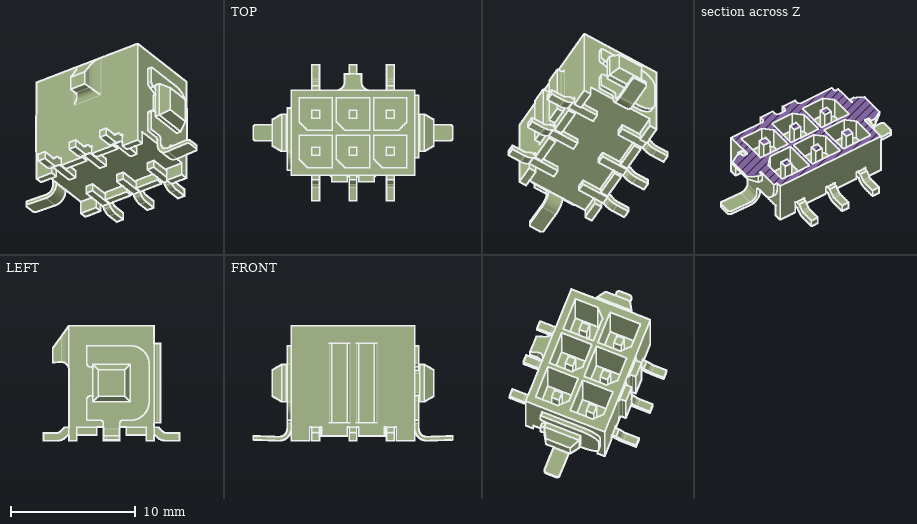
import cadquery as cq
import math


OVERALL_X = 16.04
OVERALL_Y = 10.94
OVERALL_Z = 9.24

BODY_X = 9.91
BODY_Y = 6.83
WALL_Y = 0.64
UNDERSIDE_Z = 1.1
SKIRT_Z = 0.38
PIN_SLOT_X = 0.91

PITCH = 3.0
COLUMN_X = (-PITCH, 0, PITCH)
ROW_Y = (-PITCH / 2, PITCH / 2)
CAVITY_X = 2.66
CAVITY_Y = 2.61
CAVITY_CHAMFER = 0.69
CAVITY_FLOOR_Z = 1.92

PIN = 0.64
PIN_TOP_Z = 6.42
LEG_KNEE_Y = 3.75
LEG_BEND_RADIUS = 0.32

RIB_X = 1.25
RIB_DEPTH = 0.53
RIB_SPACING = 2.17
RIB_BOTTOM_Z = 1.45
RIB_TOP_Z = 7.83
RIB_FILLET = 0.21

LATCH_X = 1.4
LATCH_REACH = 1.32
LATCH_TIP_TOP_Z = 7.43
LATCH_TIP_BOTTOM_Z = 6.27
LATCH_NECK_Z = 6.32
LATCH_ROOT_RADIUS = 0.63

CLIP_THICK = 0.34
CLIP_BACK_Y = 2.0
CLIP_FRONT_Y = -3.02
CLIP_BOTTOM_Z = 1.65
CLIP_TOP_Z = 7.64
CLIP_BIG_RADIUS = 1.49
CLIP_SMALL_RADIUS = 0.1
NOTCH_BOTTOM_Z = 3.61
NOTCH_TOP_Z = 5.93
NOTCH_LIP_RADIUS = 0.34
TONGUE_Z = (3.67, 5.65)
TONGUE_HALF_Y = 1.2
TONGUE_THICK = 0.38
TONGUE_RADIUS = 0.24
FOOT_Y = 1.32
FOOT_ROOT_FILLET = 0.24
FOOT_TIP_RADIUS = 0.24
FOOT_BEND_RADIUS = 0.63
FOOT_RISE = math.radians(2.0)

BOSS_SIDE = 3.0
BOSS_TIP_SIDE = 2.1
BOSS_CENTRE_Z = 4.64
BOSS_STRAIGHT = 0.38
BOSS_TAPER = 0.77


def box(x0, x1, y0, y1, z0, z1):
    """Box between two opposite corners."""
    return cq.Workplane("XY").box(x1 - x0, y1 - y0, z1 - z0, centered=False).translate((x0, y0, z0))


def cavity(x, y, key_side):
    """Plug cavity with its key chamfer at -Y, on the -X (-1) or +X (+1) side."""
    near = key_side * CAVITY_X / 2
    low = -CAVITY_Y / 2
    outline = [
        (near, -low),
        (-near, -low),
        (-near, low),
        (near - key_side * CAVITY_CHAMFER, low),
        (near, low + CAVITY_CHAMFER),
    ]
    tool = cq.Workplane("XY").polyline(outline).close().extrude(OVERALL_Z - CAVITY_FLOOR_Z)
    return tool.translate((x, y, CAVITY_FLOOR_Z))


def housing():
    """Block with six cavities, standing on corner feet with slotted skirts front and back."""
    half_x = BODY_X / 2
    half_y = BODY_Y / 2
    inner_y = half_y - WALL_Y
    end_slot_x = PITCH + PIN_SLOT_X / 2
    body = box(-half_x, half_x, -half_y, half_y, 0, OVERALL_Z)
    body = body.cut(box(-half_x, half_x, -inner_y, inner_y, 0, UNDERSIDE_Z))
    body = body.cut(box(-end_slot_x, end_slot_x, -half_y, half_y, 0, SKIRT_Z))
    for x in COLUMN_X:
        body = body.cut(box(x - PIN_SLOT_X / 2, x + PIN_SLOT_X / 2, -half_y, half_y, 0, UNDERSIDE_Z))
        for y in ROW_Y:
            key_side = 1 if (x > 0 and y > 0) else -1
            body = body.cut(cavity(x, y, key_side))
    return body


def back_pin(x):
    """Pin of the back row: upright blade, leg out through the skirt, flat end on the board."""
    bend = math.radians(45)
    outer_radius = LEG_BEND_RADIUS + PIN
    knee_shift = PIN * math.tan(bend / 2)
    leg_bottom_z = UNDERSIDE_Z - PIN
    slope_run = UNDERSIDE_Z - PIN
    flat_y = LEG_KNEE_Y + slope_run + LEG_BEND_RADIUS * math.tan(bend / 2)
    centre_z = PIN + LEG_BEND_RADIUS

    def bend_start(radius):
        return (flat_y - radius * math.sin(bend), centre_z - radius * math.cos(bend))

    inner_y = PITCH / 2 - PIN / 2
    leg = (
        cq.Workplane("YZ")
        .moveTo(inner_y, UNDERSIDE_Z)
        .lineTo(LEG_KNEE_Y, UNDERSIDE_Z)
        .lineTo(*bend_start(LEG_BEND_RADIUS))
        .radiusArc((flat_y, PIN), -LEG_BEND_RADIUS)
        .lineTo(OVERALL_Y / 2, PIN)
        .lineTo(OVERALL_Y / 2, 0)
        .lineTo(flat_y, 0)
        .radiusArc(bend_start(outer_radius), outer_radius)
        .lineTo(LEG_KNEE_Y - knee_shift, leg_bottom_z)
        .lineTo(inner_y, leg_bottom_z)
        .close()
        .extrude(PIN / 2, both=True)
    )
    blade = box(-PIN / 2, PIN / 2, inner_y, inner_y + PIN, leg_bottom_z, PIN_TOP_Z)
    return leg.union(blade).translate((x, 0, 0))


def rib(x):
    """Upright rib on the front face with concave fillets along both long sides."""
    wall_y = -BODY_Y / 2
    half = RIB_X / 2
    root = half + RIB_FILLET
    return (
        cq.Workplane("XY", origin=(x, wall_y, RIB_BOTTOM_Z))
        .moveTo(-root, 0)
        .radiusArc((-half, -RIB_FILLET), RIB_FILLET)
        .lineTo(-half, -RIB_DEPTH)
        .lineTo(half, -RIB_DEPTH)
        .lineTo(half, -RIB_FILLET)
        .radiusArc((root, 0), RIB_FILLET)
        .close()
        .extrude(RIB_TOP_Z - RIB_BOTTOM_Z)
    )


def latch():
    """Ramp on the back wall: side profile crossed with a plan that flares at the wall."""
    wall_y = BODY_Y / 2
    half = LATCH_X / 2
    root = half + LATCH_ROOT_RADIUS
    profile = (
        cq.Workplane("YZ", origin=(0, wall_y, 0))
        .moveTo(0, OVERALL_Z)
        .lineTo(LATCH_REACH, LATCH_TIP_TOP_Z)
        .lineTo(LATCH_REACH, LATCH_TIP_BOTTOM_Z)
        .lineTo(LATCH_ROOT_RADIUS, LATCH_NECK_Z)
        .radiusArc((0, LATCH_NECK_Z - LATCH_ROOT_RADIUS), -LATCH_ROOT_RADIUS)
        .close()
        .extrude(root, both=True)
    )
    plan = (
        cq.Workplane("XY", origin=(0, wall_y, 0))
        .moveTo(-root, 0)
        .radiusArc((-half, LATCH_ROOT_RADIUS), -LATCH_ROOT_RADIUS)
        .lineTo(-half, LATCH_REACH)
        .lineTo(half, LATCH_REACH)
        .lineTo(half, LATCH_ROOT_RADIUS)
        .radiusArc((root, 0), -LATCH_ROOT_RADIUS)
        .close()
        .extrude(OVERALL_Z)
    )
    return profile.intersect(plan)


def clip_plate():
    """D-shaped plate against the -X wall, notched from its +Y edge."""
    outer_x = -BODY_X / 2 - CLIP_THICK
    plate = box(outer_x, -BODY_X / 2, CLIP_FRONT_Y, CLIP_BACK_Y, CLIP_BOTTOM_Z, CLIP_TOP_Z)
    plate = plate.edges("|X and <Y").fillet(CLIP_BIG_RADIUS)
    plate = plate.edges("|X and >Y").fillet(CLIP_SMALL_RADIUS)
    end_y = TONGUE_HALF_Y - TONGUE_RADIUS
    lip_y = CLIP_BACK_Y - NOTCH_LIP_RADIUS
    notch = (
        cq.Workplane("YZ", origin=(outer_x, 0, 0))
        .moveTo(end_y, NOTCH_BOTTOM_Z)
        .lineTo(lip_y, NOTCH_BOTTOM_Z)
        .radiusArc((CLIP_BACK_Y, NOTCH_BOTTOM_Z - NOTCH_LIP_RADIUS), NOTCH_LIP_RADIUS)
        .lineTo(CLIP_BACK_Y, NOTCH_TOP_Z + NOTCH_LIP_RADIUS)
        .radiusArc((lip_y, NOTCH_TOP_Z), NOTCH_LIP_RADIUS)
        .lineTo(end_y, TONGUE_Z[1])
        .close()
        .extrude(CLIP_THICK)
    )
    return plate.cut(notch)


def clip_foot():
    """Strip that leaves the plate downwards and bends out onto the board."""
    inner_x = -BODY_X / 2
    outer_x = inner_x - CLIP_THICK
    tip_x = -OVERALL_X / 2
    outer_radius = FOOT_BEND_RADIUS + CLIP_THICK
    centre_x = outer_x - FOOT_BEND_RADIUS
    centre_z = outer_radius

    def bend_end(radius):
        return (centre_x - radius * math.sin(FOOT_RISE), centre_z - radius * math.cos(FOOT_RISE))

    def tip(radius):
        end_x, end_z = bend_end(radius)
        return (tip_x, end_z + (end_x - tip_x) * math.tan(FOOT_RISE))

    strip = (
        cq.Workplane("XZ")
        .moveTo(inner_x, CLIP_BOTTOM_Z)
        .lineTo(inner_x, centre_z)
        .radiusArc(bend_end(outer_radius), outer_radius)
        .lineTo(*tip(outer_radius))
        .lineTo(*tip(FOOT_BEND_RADIUS))
        .lineTo(*bend_end(FOOT_BEND_RADIUS))
        .radiusArc((outer_x, centre_z), -FOOT_BEND_RADIUS)
        .lineTo(outer_x, CLIP_BOTTOM_Z)
        .close()
        .extrude(FOOT_Y / 2, both=True)
    )
    corners = strip.faces("<X").edges("not |Y")
    return corners.fillet(FOOT_TIP_RADIUS)


def clip_tongue():
    """Pad that ends inside the notch and stands slightly proud of the plate."""
    inner_x = -BODY_X / 2
    pad = box(inner_x - TONGUE_THICK, inner_x, -TONGUE_HALF_Y, TONGUE_HALF_Y, *TONGUE_Z)
    return pad.edges("|X").fillet(TONGUE_RADIUS)


def boss():
    """Square boss on the tongue: straight base, then tapering to its flat end."""
    base_x = -BODY_X / 2 - TONGUE_THICK
    base = (
        cq.Workplane("YZ", origin=(base_x, 0, BOSS_CENTRE_Z))
        .rect(BOSS_SIDE, BOSS_SIDE)
        .extrude(-BOSS_STRAIGHT)
    )
    taper = (
        cq.Workplane("YZ", origin=(base_x - BOSS_STRAIGHT, 0, BOSS_CENTRE_Z))
        .rect(BOSS_SIDE, BOSS_SIDE)
        .workplane(offset=-BOSS_TAPER)
        .rect(BOSS_TIP_SIDE, BOSS_TIP_SIDE)
        .loft(ruled=True)
    )
    return base.union(taper)


def side_clip():
    """Complete clip for the -X wall."""
    clip = clip_plate().union(clip_foot())
    reach = FOOT_Y / 2 + FOOT_ROOT_FILLET
    wall_x = -BODY_X / 2
    corner_z = CLIP_BOTTOM_Z - FOOT_ROOT_FILLET
    web = box(wall_x - CLIP_THICK, wall_x, -reach, reach, corner_z, CLIP_BOTTOM_Z)
    for y in (-reach, reach):
        corner = cq.Workplane("YZ", origin=(wall_x, y, corner_z))
        web = web.cut(corner.circle(FOOT_ROOT_FILLET).extrude(-CLIP_THICK))
    return clip.union(web).union(clip_tongue()).union(boss())


def turned(solid):
    """The same solid turned half a turn about Z."""
    return solid.rotate((0, 0, 0), (0, 0, 1), 180)


result = housing().union(latch())
for rib_x in (-RIB_SPACING / 2, RIB_SPACING / 2):
    result = result.union(rib(rib_x))
for column_x in COLUMN_X:
    pin = back_pin(column_x)
    result = result.union(pin).union(turned(pin))
clip = side_clip()
result = result.union(clip).union(turned(clip))